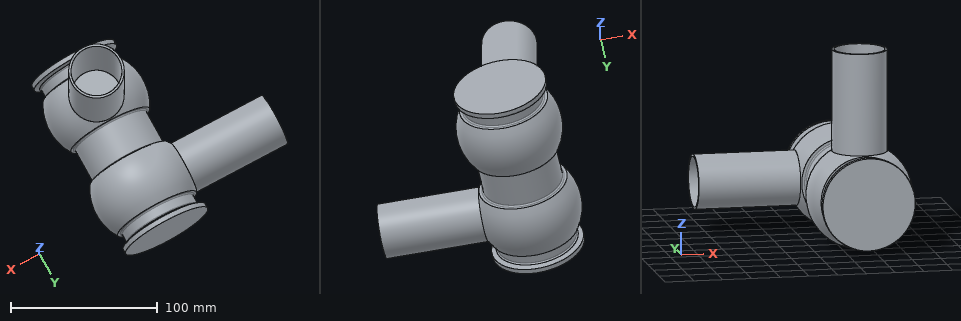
import cadquery as cq
import math

span = 138.5
body_length = 133.6

ball_radius = 36.5
ball_spacing = 66.7
ball_half_width = 19.8
tube_radius = 27.7
corner_radius = 1.0
flange_radius = 32.1
rim_width = 3.6
taper_width = 1.4

pipe_radius = 19.0
pipe_wall = 1.7

arc_inset = corner_radius * (1 - math.sqrt(0.5))
half_length = body_length / 2
pipe_reach = span - ball_radius
bore_floor = math.sqrt(ball_radius**2 - pipe_radius**2)


def flat_sided_ball(center_y):
    """Ball with both sides cut flat, each blending into the tube through a fillet."""
    face_radius = math.sqrt(ball_radius**2 - ball_half_width**2)
    blend_end = ball_half_width + corner_radius
    return (
        cq.Workplane("XY")
        .moveTo(0, -blend_end)
        .lineTo(tube_radius, -blend_end)
        .threePointArc(
            (tube_radius + arc_inset, -ball_half_width - arc_inset),
            (tube_radius + corner_radius, -ball_half_width),
        )
        .lineTo(face_radius, -ball_half_width)
        .threePointArc((ball_radius, 0), (face_radius, ball_half_width))
        .lineTo(tube_radius + corner_radius, ball_half_width)
        .threePointArc(
            (tube_radius + arc_inset, ball_half_width + arc_inset),
            (tube_radius, blend_end),
        )
        .lineTo(0, blend_end)
        .close()
        .revolve(360, (0, 0, 0), (0, 1, 0))
        .translate((0, center_y, 0))
    )


def end_flange():
    """Flange at the +Y end: straight rim, conical back and a small neck fillet."""
    rim_back = half_length - rim_width
    taper_end = rim_back - taper_width
    neck = taper_end - corner_radius
    return (
        cq.Workplane("XY")
        .moveTo(0, half_length)
        .lineTo(flange_radius, half_length)
        .lineTo(flange_radius, rim_back)
        .lineTo(tube_radius + corner_radius, taper_end)
        .threePointArc((tube_radius + arc_inset, taper_end - arc_inset), (tube_radius, neck))
        .lineTo(0, neck)
        .close()
        .revolve(360, (0, 0, 0), (0, 1, 0))
    )


def add_pipe(body, center_y, direction):
    """Add a pipe running out of a ball, with a blind bore from its mouth."""
    plane = cq.Plane(origin=(0, center_y, 0), xDir=(0, 1, 0), normal=direction)
    pipe = cq.Workplane(plane).circle(pipe_radius).extrude(pipe_reach)
    bore = (
        cq.Workplane(plane)
        .workplane(offset=bore_floor)
        .circle(pipe_radius - pipe_wall)
        .extrude(pipe_reach - bore_floor)
    )
    return body.union(pipe).cut(bore)


front_ball_y = -ball_spacing / 2
rear_ball_y = ball_spacing / 2

body = cq.Workplane("XZ").circle(tube_radius).extrude(half_length, both=True)
for ball_y in (front_ball_y, rear_ball_y):
    body = body.union(flat_sided_ball(ball_y))

flange = end_flange()
body = body.union(flange).union(flange.mirror("XZ"))

body = add_pipe(body, front_ball_y, (0, 0, 1))
result = add_pipe(body, rear_ball_y, (-1, 0, 0))